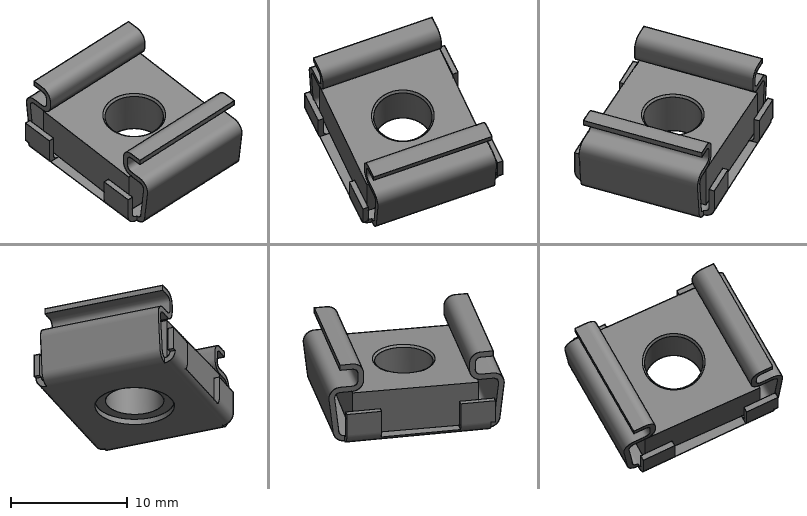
import cadquery as cq
import math

CAGE_WIDTH = 15.34
CAGE_DEPTH = 13.0
CAGE_HEIGHT = 7.33

BEND_OUTER = 1.0
SHEET = BEND_OUTER / 2
BEND_INNER = BEND_OUTER - SHEET

FLOOR_WIDTH = 12.61
FLOOR_DEPTH = CAGE_DEPTH - 2 * BEND_OUTER
FLOOR_HOLE_DIAMETER = 6.8

SHOULDER_TOP = 5.2
HOOK_GAP = 9.27
LIP_END_X = 6.7

TAB_WIDTH = 3.04
TAB_HEIGHT = 3.04
LEFT_TAB_OVERHANG = 0.4

NUT_WIDTH = 11.0
NUT_HEIGHT = 3.99
NUT_TURN = -1.0
NUT_LIFT = 0.01
THREAD_DIAMETER = 5.0
THREAD_CHAMFER = 0.18


def on_circle(center, radius, angle):
    """Point on a circle at an angle in degrees."""
    turn = math.radians(angle)
    return (center[0] + radius * math.cos(turn), center[1] + radius * math.sin(turn))


def add_bend(outline, center, radius, start, end):
    """Run straight to the start of a bend, then follow its arc."""
    outline = outline.lineTo(*on_circle(center, radius, start))
    middle = on_circle(center, radius, (start + end) / 2)
    return outline.threePointArc(middle, on_circle(center, radius, end))


def make_spring_wall():
    """Wall on the +X side: one sheet profile with four bends, extruded along Y."""
    foot = (FLOOR_WIDTH / 2, BEND_OUTER)
    shoulder = (CAGE_WIDTH / 2 - BEND_OUTER, SHOULDER_TOP - BEND_OUTER)
    hook_x = HOOK_GAP / 2 + BEND_OUTER
    hook_bottom = (hook_x, SHOULDER_TOP + BEND_INNER)
    hook_top = (hook_x, CAGE_HEIGHT - BEND_OUTER)
    lean = math.degrees(math.atan2(shoulder[0] - foot[0], shoulder[1] - foot[1]))

    bends = [
        (foot, BEND_OUTER, -90, -lean),
        (shoulder, BEND_OUTER, -lean, 90),
        (hook_bottom, BEND_INNER, 270, 180),
        (hook_top, BEND_INNER, 180, 90),
    ]
    outline = cq.Workplane("XZ").moveTo(FLOOR_WIDTH / 2, SHEET)
    for center, radius, start, end in bends:
        outline = add_bend(outline, center, radius, start, end)
    outline = outline.lineTo(LIP_END_X, CAGE_HEIGHT - SHEET).lineTo(LIP_END_X, CAGE_HEIGHT)

    for center, radius, start, end in reversed(bends):
        other_radius = BEND_OUTER + BEND_INNER - radius
        outline = add_bend(outline, center, other_radius, end, start)
    return outline.close().extrude(FLOOR_DEPTH / 2, both=True)


def make_edge_bend(left, right):
    """Quarter-round bend along the back edge of the floor."""
    center = (FLOOR_DEPTH / 2, BEND_OUTER)
    outline = cq.Workplane("YZ", origin=(left, 0, 0)).moveTo(FLOOR_DEPTH / 2, SHEET)
    outline = add_bend(outline, center, BEND_OUTER, -90, 0)
    outline = add_bend(outline, center, BEND_INNER, 0, -90)
    return outline.close().extrude(right - left)


def make_upright(left):
    """Flat upright part of a tab on the back edge."""
    return cq.Workplane("XY").box(
        TAB_WIDTH, SHEET, TAB_HEIGHT - BEND_OUTER, centered=False
    ).translate((left, CAGE_DEPTH / 2 - SHEET, BEND_OUTER))


def make_floor_rim():
    """Back rim of the floor: flat on top, with the bend's outer rounding below."""
    center = (FLOOR_DEPTH / 2, BEND_OUTER)
    rim_angle = -math.degrees(math.asin((BEND_OUTER - SHEET) / BEND_OUTER))
    outline = cq.Workplane("YZ").moveTo(FLOOR_DEPTH / 2, SHEET)
    outline = add_bend(outline, center, BEND_OUTER, -90, rim_angle)
    return outline.close().extrude(FLOOR_WIDTH / 2, both=True)


def make_tab_edge():
    """Back edge of the cage: rim and two tabs, the left upright standing out past the floor."""
    floor_end = FLOOR_WIDTH / 2
    left_tab_start = -floor_end - LEFT_TAB_OVERHANG
    right_tab_start = floor_end - TAB_WIDTH
    return (
        make_floor_rim()
        .union(make_edge_bend(-floor_end, left_tab_start + TAB_WIDTH))
        .union(make_upright(left_tab_start))
        .union(make_edge_bend(right_tab_start, floor_end))
        .union(make_upright(right_tab_start))
    )


def make_cage():
    floor = cq.Workplane("XY").box(FLOOR_WIDTH, FLOOR_DEPTH, SHEET, centered=(True, True, False))
    wall = make_spring_wall()
    tab_edge = make_tab_edge()
    cage = floor.union(wall).union(wall.mirror("YZ")).union(tab_edge).union(tab_edge.mirror("XZ"))
    hole = cq.Workplane("XY").circle(FLOOR_HOLE_DIAMETER / 2).extrude(SHEET)
    return cage.cut(hole)


def make_nut():
    block = cq.Workplane("XY").box(NUT_WIDTH, NUT_WIDTH, NUT_HEIGHT, centered=(True, True, False))
    bored = block.faces(">Z").workplane().hole(THREAD_DIAMETER)
    chamfered = bored.faces(">Z").edges("%CIRCLE").chamfer(THREAD_CHAMFER)
    return chamfered.rotate((0, 0, 0), (0, 0, 1), NUT_TURN).translate((0, 0, SHEET + NUT_LIFT))


cage = make_cage()
nut = make_nut()
result = cq.Compound.makeCompound([cage.solids().val(), nut.solids().val()])